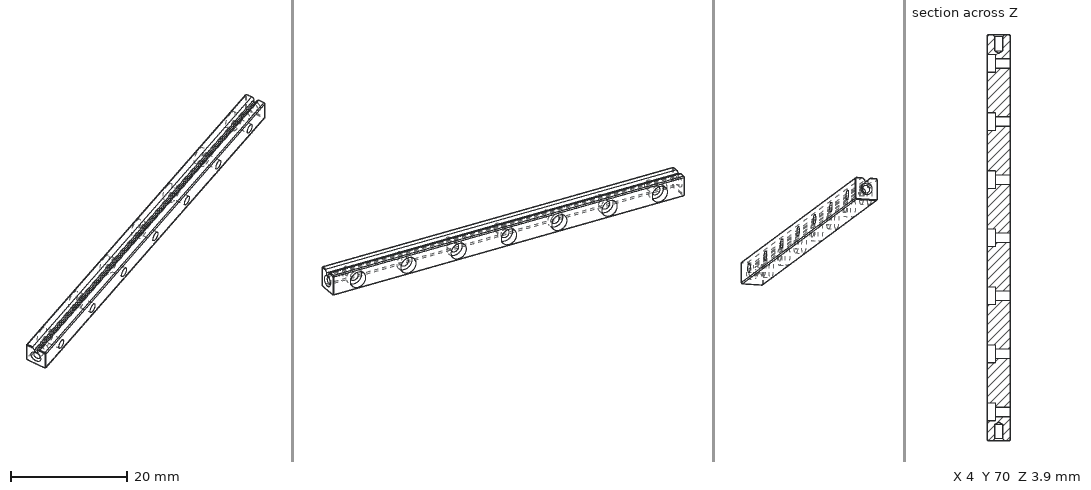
import cadquery as cq
import math

LENGTH = 70.0
WIDTH = 4.0
HEIGHT = 3.9
EDGE_CHAMFER = 0.2
END_CHAMFER = 0.15

RACEWAY_WIDTH = 1.5
RELIEF_WIDTH = 0.55
GROOVE_DEPTH = 1.05
RACEWAY_DEPTH = (RACEWAY_WIDTH - RELIEF_WIDTH) / 2

HOLE_COUNT = 7
HOLE_PITCH = 10.0
HOLE_DIAMETER = 1.6
COUNTERBORE_DIAMETER = 3.0
COUNTERBORE_DEPTH = 1.4
HOLE_HEIGHT = -0.15

END_HOLE_DIAMETER = 1.3
END_HOLE_DEPTH = 2.8
END_MOUTH_DIAMETER = 2.0
DRILL_POINT_ANGLE = 118.0


def rail_blank():
    """Bar with chamfered long edges and a finer chamfer around both ends."""
    bar = cq.Workplane("XY").box(WIDTH, LENGTH, HEIGHT)
    return bar.edges("|Y").chamfer(EDGE_CHAMFER).faces("<Y or >Y").chamfer(END_CHAMFER)


def raceway_groove():
    """Full-length cutter for the V raceway and its relief slot."""
    top = HEIGHT / 2
    root = top - RACEWAY_DEPTH
    floor = top - GROOVE_DEPTH
    half_mouth = RACEWAY_WIDTH / 2
    half_slot = RELIEF_WIDTH / 2
    outline = [
        (-half_mouth, top),
        (-half_slot, root),
        (-half_slot, floor),
        (half_slot, floor),
        (half_slot, root),
        (half_mouth, top),
    ]
    return cq.Workplane("XZ").polyline(outline).close().extrude(LENGTH / 2, both=True)


def drill_mounting_holes(body):
    """Row of through holes, counterbored from the -X side."""
    return (
        body.faces("<X")
        .workplane(origin=(0, 0, HOLE_HEIGHT))
        .rarray(HOLE_PITCH, 0.7, HOLE_COUNT, 1)
        .cboreHole(HOLE_DIAMETER, COUNTERBORE_DIAMETER, COUNTERBORE_DEPTH)
    )


def end_hole():
    """Cutter for the blind hole in the -Y end, turned about the Y axis."""
    radius = END_HOLE_DIAMETER / 2
    mouth_radius = END_MOUTH_DIAMETER / 2
    mouth_depth = mouth_radius - radius
    point_length = radius / math.tan(math.radians(DRILL_POINT_ANGLE / 2))
    end = -LENGTH / 2
    outline = [
        (0, end),
        (mouth_radius, end),
        (radius, end + mouth_depth),
        (radius, end + END_HOLE_DEPTH),
        (0, end + END_HOLE_DEPTH + point_length),
    ]
    return cq.Workplane("XY").polyline(outline).close().revolve(360, (0, 0, 0), (0, 1, 0))


rail = rail_blank().cut(raceway_groove())
rail = drill_mounting_holes(rail)
front_hole = end_hole()
result = rail.cut(front_hole).cut(front_hole.mirror("XZ"))